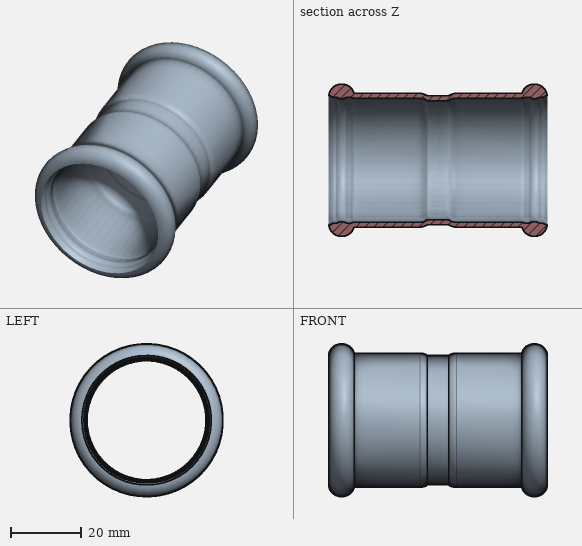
import cadquery as cq
import math

length = 62.5
outer_diameter = 43.7
body_radius = 38.4 / 2
neck_radius = 37.0 / 2
bore_radius = 35.4 / 2
stop_radius = 34.0 / 2
mouth_radius = 37.0 / 2
seat_radius = 35.8 / 2
seal_radius = 17.5

bead_width = 7.5
neck_width = 6.1
shoulder_width = 2.2

taper_end = 1.4
seal_start = 2.3
seal_end = 5.1
step_start = 6.5
bore_start = 7.4

bead_radius = bead_width / 2
bead_centre_radius = outer_diameter / 2 - bead_radius
middle = length / 2
neck_start = middle - neck_width / 2
shoulder_start = neck_start - shoulder_width


def bead_offset(radius):
    """Axial half-width of the rounded bead at a given radius."""
    return math.sqrt(bead_radius**2 - (radius - bead_centre_radius) ** 2)


def shoulder_middle(start_radius, end_radius):
    """Midpoint of a shoulder arc that leaves the socket wall tangentially."""
    drop = start_radius - end_radius
    arc_radius = (shoulder_width**2 + drop**2) / (2 * drop)
    half_angle = math.asin(shoulder_width / arc_radius) / 2
    x = shoulder_start + arc_radius * math.sin(half_angle)
    radius = start_radius - arc_radius * (1 - math.cos(half_angle))
    return x, radius


seal_middle = (seal_start + seal_end) / 2
bead_back = bead_radius + bead_offset(body_radius)

socket_profile = (
    cq.Workplane("XY")
    .moveTo(0, mouth_radius)
    .threePointArc((bead_radius, outer_diameter / 2), (bead_back, body_radius))
    .lineTo(shoulder_start, body_radius)
    .threePointArc(shoulder_middle(body_radius, neck_radius), (neck_start, neck_radius))
    .lineTo(middle, neck_radius)
    .lineTo(middle, stop_radius)
    .lineTo(neck_start, stop_radius)
    .threePointArc(shoulder_middle(bore_radius, stop_radius), (shoulder_start, bore_radius))
    .lineTo(bore_start, bore_radius)
    .tangentArcPoint((step_start, seat_radius), relative=False)
    .lineTo(seal_end, seat_radius)
    .threePointArc((seal_middle, seal_radius), (seal_start, seat_radius))
    .lineTo(taper_end, seat_radius)
)
socket = socket_profile.close().revolve(360, (0, 0, 0), (1, 0, 0))

coupling = socket.union(socket.mirror("YZ", (middle, 0, 0))).clean()
result = coupling.translate((-middle, 0, 0))